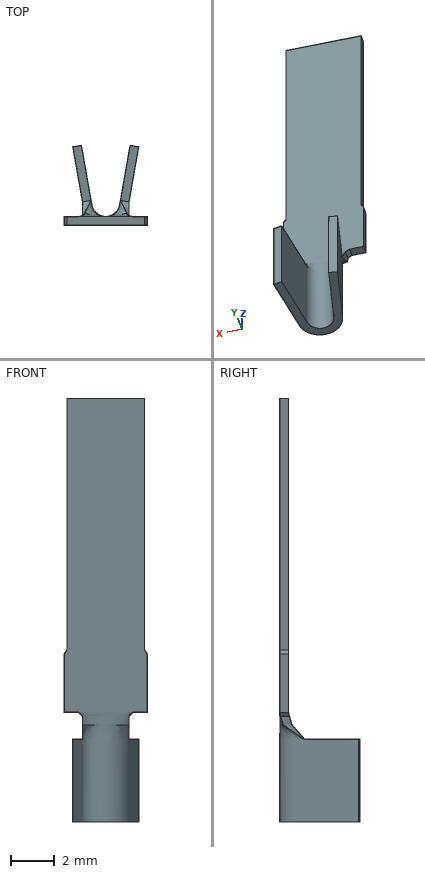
import cadquery as cq
import math

thickness = 0.4
total_height = 19.48

blade_width = 3.58
shoulder_width = 3.82
shoulder_bottom = 5.05
shoulder_top = 7.93
shoulder_chamfer_height = 0.2

barrel_height = 3.82
barrel_radius = 1.05
wing_angle = math.radians(10)
wing_length = 2.79

neck_flare = 0.18
neck_flare_bottom = 4.87
neck_flare_bend = math.radians(4)
neck_middle = 4.48
neck_middle_bend = math.radians(15)
neck_edge_length = 0.21

barrel_bend = math.pi / 2 - wing_angle
neck_half_width = barrel_radius * math.sin(barrel_bend) + neck_edge_length * math.cos(barrel_bend)


def make_blade():
    half_blade = blade_width / 2
    half_shoulder = shoulder_width / 2
    right_side = [
        (half_shoulder, shoulder_bottom),
        (half_shoulder, shoulder_top - shoulder_chamfer_height),
        (half_blade, shoulder_top),
        (half_blade, total_height),
    ]
    left_side = [(-x, z) for x, z in reversed(right_side)]
    return cq.Workplane("XZ").polyline(right_side + left_side).close().extrude(-thickness)


def channel_outline(z, length, radius, bend):
    """Closed trough outline: each side bends up by an angle, then runs straight for a length."""

    def side_points(face_radius):
        tangent = (face_radius * math.sin(bend), radius - face_radius * math.cos(bend))
        tip = (tangent[0] + length * math.cos(bend), tangent[1] + length * math.sin(bend))
        return tangent, tip

    def mirrored(point):
        return (-point[0], point[1])

    outer_tangent, outer_tip = side_points(radius)
    inner_tangent, inner_tip = side_points(radius - thickness)
    return (
        cq.Workplane("XY", origin=(0, 0, z))
        .moveTo(*mirrored(outer_tip))
        .lineTo(*mirrored(outer_tangent))
        .threePointArc((0, 0), outer_tangent)
        .lineTo(*outer_tip)
        .lineTo(*inner_tip)
        .lineTo(*inner_tangent)
        .threePointArc((0, thickness), mirrored(inner_tangent))
        .lineTo(*mirrored(inner_tip))
        .close()
    )


def flat_outline(z):
    """Rectangular outline, split to give one edge for each edge of the trough outline."""
    half_width = neck_half_width + neck_flare
    split = half_width - neck_edge_length
    front = [(x, 0) for x in (-half_width, -split, split, half_width)]
    back = [(x, thickness) for x in (half_width, split, -split, -half_width)]
    return cq.Workplane("XY", origin=(0, 0, z)).polyline(front + back).close()


def make_neck():
    outlines = [flat_outline(shoulder_bottom)]
    bends = [
        (neck_flare_bottom, neck_flare_bend),
        (neck_middle, neck_middle_bend),
        (barrel_height, barrel_bend),
    ]
    for z, bend in bends:
        radius = (neck_half_width - neck_edge_length * math.cos(bend)) / math.sin(bend)
        outlines.append(channel_outline(z, neck_edge_length, radius, bend))
    neck = cq.Solid.makeLoft([outline.val() for outline in outlines], True)
    return cq.Workplane(obj=neck)


barrel = channel_outline(0, wing_length, barrel_radius, barrel_bend).extrude(barrel_height)
result = make_blade().union(make_neck()).union(barrel)